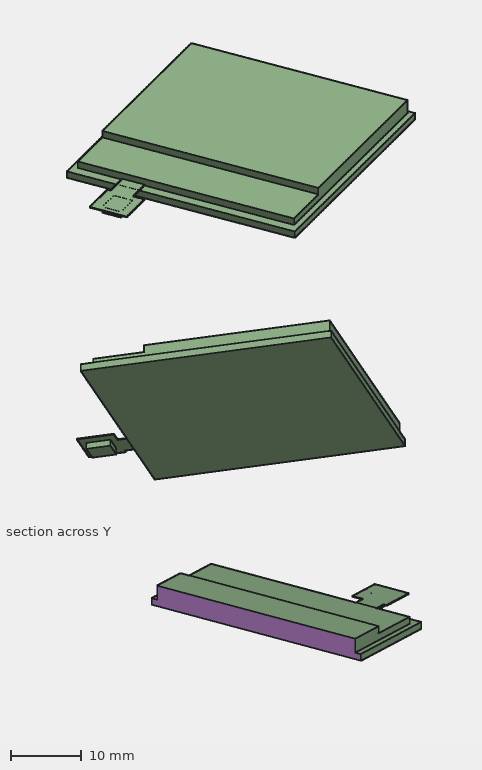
import cadquery as cq

base_width = 36.4
base_length = 37.1
layer_thickness = 1.05

glass_width = 34.5
back_margin = 0.5
front_margin = 1.55
glass_length = base_length - back_margin - front_margin
upper_glass_length = 27.5

overall_length = 44.6
tail_thickness = 0.15
neck_left = 8.0
neck_width = 3.6
pad_left = 7.5
pad_width = 5.95
pad_length = 5.5
tail_end = base_length - overall_length
pad_back = tail_end + pad_length

connector_left = 9.0
connector_width = 3.0
connector_length = 3.55
connector_height = 0.95
connector_front_gap = 1.0


def block(left, front, bottom, width, length, height):
    """Box placed by its left, front, bottom corner."""
    return cq.Workplane("XY").box(width, length, height, centered=False).translate((left, front, bottom))


plate = block(0, 0, 0, base_width, base_length, layer_thickness)

glass_left = (base_width - glass_width) / 2
glass_back = base_length - back_margin
lower_glass = block(glass_left, front_margin, layer_thickness, glass_width, glass_length, layer_thickness)
upper_glass = block(
    glass_left, glass_back - upper_glass_length, 2 * layer_thickness,
    glass_width, upper_glass_length, layer_thickness,
)

neck = block(neck_left, pad_back, layer_thickness, neck_width, front_margin - pad_back, tail_thickness)
pad = block(pad_left, tail_end, layer_thickness, pad_width, pad_length, tail_thickness)
connector = block(
    connector_left, tail_end + connector_front_gap, layer_thickness - connector_height,
    connector_width, connector_length, connector_height,
)

result = plate.union(lower_glass).union(upper_glass).union(neck).union(pad).union(connector).clean()